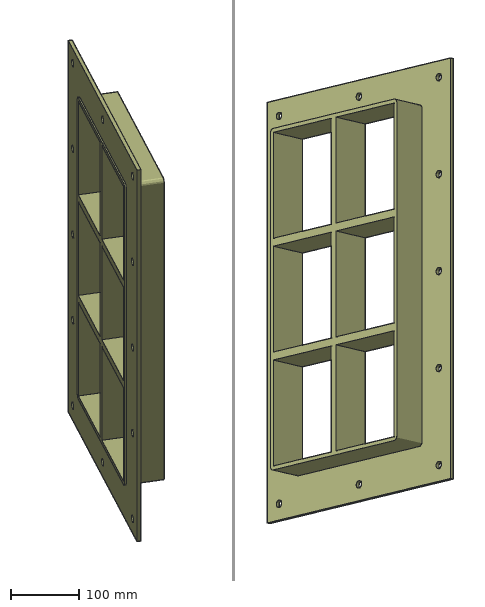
import cadquery as cq

plate_width = 383.0
plate_height = 634.5
plate_thickness = 6.0

flange_margin = 59.5
frame_width = plate_width - 2 * flange_margin
frame_height = plate_height - 2 * flange_margin
frame_depth = 60.0
front_lip = 2.5
frame_wall = 6.0
corner_radius = 6.0

columns = 2
rows = 3
upright_bar = 10.0
cross_bar = 12.0
window_width = (frame_width - 2 * frame_wall - (columns - 1) * upright_bar) / columns
window_height = (frame_height - 2 * frame_wall - (rows - 1) * cross_bar) / rows

hole_diameter = 11.0
hole_inset = 25.0
holes_across = 3
holes_up = 5
hole_pitch_x = (plate_width - 2 * hole_inset) / (holes_across - 1)
hole_pitch_z = (plate_height - 2 * hole_inset) / (holes_up - 1)


def block(width, height, front, depth):
    """Block centred on X and Z, reaching back (+Y) from its front face."""
    return cq.Workplane("XY").box(width, depth, height).translate((0, front + depth / 2, 0))


def centred_positions(count, pitch):
    """Evenly spaced positions, symmetric about zero."""
    return [(i - (count - 1) / 2) * pitch for i in range(count)]


def mounting_hole_points():
    """Points on the perimeter of the hole grid."""
    xs = centred_positions(holes_across, hole_pitch_x)
    zs = centred_positions(holes_up, hole_pitch_z)
    return [(x, z) for x in xs for z in zs if x in (xs[0], xs[-1]) or z in (zs[0], zs[-1])]


def make_windows():
    """Rectangular openings running the full depth of the frame."""
    return (
        cq.Workplane("XZ")
        .rarray(window_width + upright_bar, window_height + cross_bar, columns, rows)
        .rect(window_width, window_height)
        .extrude(-frame_depth)
    )


def make_mounting_holes():
    """Cylinders through the plate."""
    return (
        cq.Workplane("XZ", origin=(0, front_lip, 0))
        .pushPoints(mounting_hole_points())
        .circle(hole_diameter / 2)
        .extrude(-plate_thickness)
    )


frame = block(frame_width, frame_height, 0, frame_depth).edges("|Y").fillet(corner_radius)
plate = block(plate_width, plate_height, front_lip, plate_thickness)

result = plate.union(frame).cut(make_windows()).cut(make_mounting_holes())